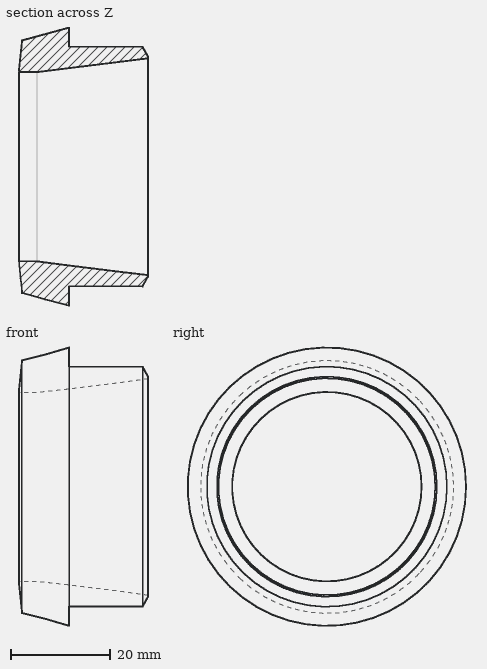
import cadquery as cq
import math

length = 26.0
flange_radius = 56 / 2
flange_length = 10.1

flat_ring_radius = 19.45
rim_radius = 25.4
face_cone_angle = math.radians(6)
rim_setback = (rim_radius - flat_ring_radius) * math.tan(face_cone_angle)

sleeve_radius = 48.3 / 2
end_chamfer_length = 1.1
end_chamfer_depth = 2.0

bore_radius = 38.0 / 2
throat_end = 3.65
bore_exit_radius = 21.8

section = (
    cq.Workplane("XY")
    .moveTo(0, flat_ring_radius)
    .lineTo(rim_setback, rim_radius)
    .lineTo(flange_length, flange_radius)
    .lineTo(flange_length, sleeve_radius)
    .lineTo(length - end_chamfer_length, sleeve_radius)
    .lineTo(length, sleeve_radius - end_chamfer_depth)
    .lineTo(length, bore_exit_radius)
    .lineTo(throat_end, bore_radius)
    .lineTo(0, bore_radius)
    .close()
)

result = section.revolve(360, (0, 0, 0), (1, 0, 0))